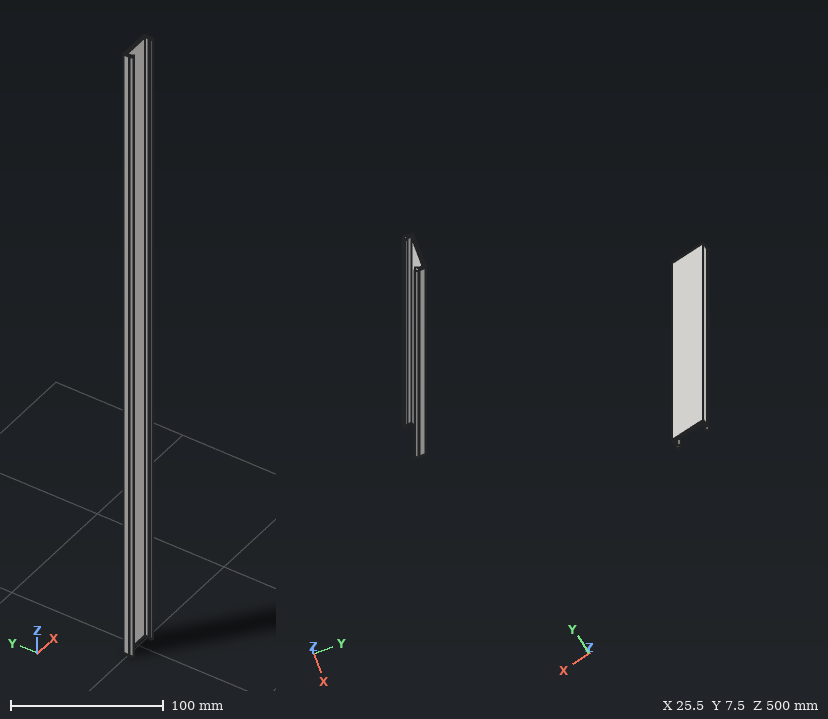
import cadquery as cq
import math

LENGTH = 500.0
WIDTH = 25.5
DEPTH = 7.5

WALL = 1.5
LIP_THICKNESS = 2.0

LIP_ANGLE = math.radians(30)
BULGE = 0.5
LIP_TOP_Y = -0.65

BACK_Y = DEPTH / 2
FRONT_Y = -DEPTH / 2
HALF_WIDTH = WIDTH / 2
SIDE_X = HALF_WIDTH - BULGE
INNER_SIDE_X = SIDE_X - WALL


def extrude_outline(points):
    return cq.Workplane("XY").polyline(points).close().extrude(LENGTH)


def make_channel():
    """U-shaped channel: a flat web at the back and two straight sides."""
    web_front_y = BACK_Y - WALL
    return extrude_outline([
        (-SIDE_X, LIP_TOP_Y),
        (-SIDE_X, BACK_Y),
        (SIDE_X, BACK_Y),
        (SIDE_X, LIP_TOP_Y),
        (INNER_SIDE_X, LIP_TOP_Y),
        (INNER_SIDE_X, web_front_y),
        (-INNER_SIDE_X, web_front_y),
        (-INNER_SIDE_X, LIP_TOP_Y),
    ])


def make_lip(side):
    """Snap lip under one channel side; side is -1 for left, +1 for right."""
    ridge_y = LIP_TOP_Y - BULGE / math.tan(LIP_ANGLE)
    tip_x = HALF_WIDTH - (ridge_y - FRONT_Y) * math.tan(LIP_ANGLE)
    inner_tip_x = tip_x - LIP_THICKNESS * math.cos(LIP_ANGLE)
    inner_tip_y = FRONT_Y + LIP_THICKNESS * math.sin(LIP_ANGLE)
    outline = [
        (SIDE_X, LIP_TOP_Y),
        (HALF_WIDTH, ridge_y),
        (tip_x, FRONT_Y),
        (inner_tip_x, inner_tip_y),
        (INNER_SIDE_X, LIP_TOP_Y),
    ]
    return extrude_outline([(side * x, y) for x, y in outline])


channel = make_channel()
lips = [make_lip(side) for side in (-1, 1)]

result = cq.Compound.makeCompound([channel.val(), *[lip.val() for lip in lips]])